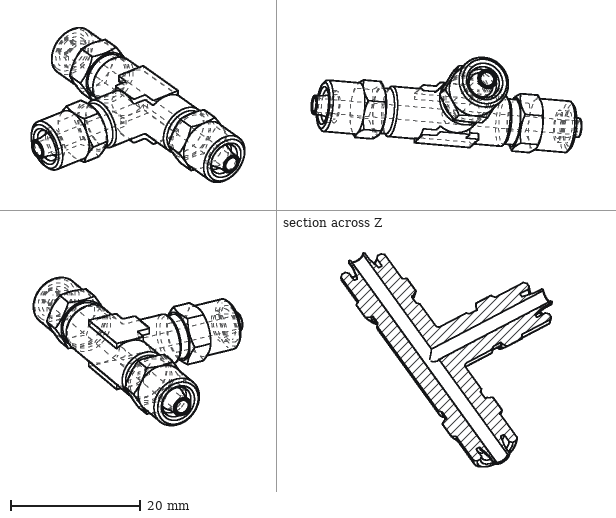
import cadquery as cq
import math

overall_length = 43.0
arm_length = overall_length / 2
arm_angles = (0, 180, -90)

body_radius = 3.9
body_end = 9.5
neck_radius = 3.53
body_chamfer = body_radius - neck_radius
crotch_radius = 0.5
clearance = 0.05

pad_half_length = 4.5
pad_half_width = 2.4
pad_stem_end = 4.6
pad_corner_radius = 0.2

hex_flats = 8.0
hex_start = 10.9
hex_end = 14.45
hex_corner_angle = 30
hex_inner_face_radius = 3.83
sleeve_radius = hex_flats / 2
sleeve_end = 20.0
sleeve_chamfer = 0.45

mouth_radius = 2.92
recess_radius = 2.5
mouth_taper_length = 0.45
recess_floor = 18.05

spigot_radius = 1.5
spigot_root_radius = 1.95
spigot_taper_start = 20.12
spigot_tip_chamfer = 0.15
bore_radius = 1.08
bore_tip_chamfer = 0.15


def revolve_about_x(points):
    """Solid of revolution from (x, radius) points."""
    return cq.Workplane("XY").polyline(points).close().revolve(360, (0, 0, 0), (1, 0, 0))


def turn_to(solid, angle):
    return solid.rotate((0, 0, 0), (0, 0, 1), angle)


def body_arm():
    return revolve_about_x([
        (0, 0),
        (0, body_radius),
        (body_end - body_chamfer, body_radius),
        (body_end, neck_radius),
        (body_end, 0),
    ])


def tee_body():
    """Three round arms with a filleted crotch between the branch and the run."""
    run = body_arm().union(turn_to(body_arm(), 180))
    tee = run.union(turn_to(body_arm(), -90))
    crotch_zone = cq.selectors.BoxSelector(
        (-body_radius, -body_radius, -body_radius),
        (body_radius, -clearance, body_radius),
    )
    return tee.edges(crotch_zone).fillet(crotch_radius)


def wrench_pad():
    """T outline through the full height, rounded at its corners on the branch side."""
    half_length, half_width = pad_half_length, pad_half_width
    outline = [
        (-half_length, half_width),
        (-half_length, -half_width),
        (-half_width, -half_width),
        (-half_width, -pad_stem_end),
        (half_width, -pad_stem_end),
        (half_width, -half_width),
        (half_length, -half_width),
        (half_length, half_width),
    ]
    pad = cq.Workplane("XY").polyline(outline).close().extrude(hex_flats / 2, both=True)
    branch_side_edges = pad.edges("|Z").edges(
        cq.selectors.BoxSelector(
            (-overall_length, -overall_length, -overall_length),
            (overall_length, 0, overall_length),
        )
    )
    return branch_side_edges.fillet(pad_corner_radius)


def nut_hexagon():
    """Hexagon with flats on top and bottom, its corners turned off at both ends."""
    corner_radius = hex_flats / math.sqrt(3)
    slope = math.tan(math.radians(hex_corner_angle))
    inner_turning = (corner_radius - hex_inner_face_radius) * slope
    outer_turning = (corner_radius - sleeve_radius) * slope
    hexagon = (
        cq.Workplane("YZ", origin=(hex_start, 0, 0))
        .polygon(6, 2 * corner_radius)
        .extrude(hex_end - hex_start)
    )
    turned = revolve_about_x([
        (hex_start, 0),
        (hex_start, hex_inner_face_radius),
        (hex_start + inner_turning, corner_radius),
        (hex_end - outer_turning, corner_radius),
        (hex_end, sleeve_radius),
        (hex_end, 0),
    ])
    return hexagon.intersect(turned)


def nut_and_spigot():
    """Neck, nut sleeve with its open mouth, and the hose spigot inside it."""
    turned = revolve_about_x([
        (0, 0),
        (0, neck_radius),
        (hex_end, neck_radius),
        (hex_end, sleeve_radius),
        (sleeve_end - sleeve_chamfer, sleeve_radius),
        (sleeve_end, sleeve_radius - sleeve_chamfer),
        (sleeve_end, mouth_radius),
        (sleeve_end - mouth_taper_length, recess_radius),
        (recess_floor, recess_radius),
        (recess_floor, spigot_root_radius),
        (spigot_taper_start, spigot_radius),
        (arm_length - spigot_tip_chamfer, spigot_radius),
        (arm_length, spigot_radius - spigot_tip_chamfer),
        (arm_length, 0),
    ])
    return turned.union(nut_hexagon())


def arm_bore():
    return revolve_about_x([
        (0, 0),
        (0, bore_radius),
        (arm_length - bore_tip_chamfer, bore_radius),
        (arm_length, bore_radius + bore_tip_chamfer),
        (arm_length, 0),
    ])


result = tee_body().union(wrench_pad())
for angle in arm_angles:
    result = result.union(turn_to(nut_and_spigot(), angle))
for angle in arm_angles:
    result = result.cut(turn_to(arm_bore(), angle))